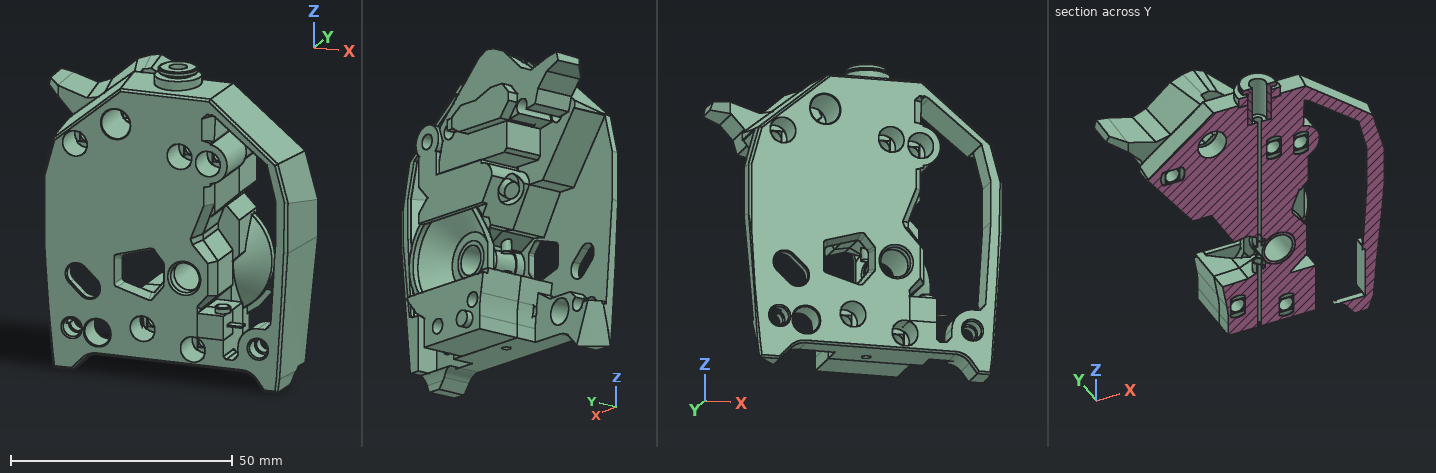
import cadquery as cq
import math


PLATE_T = 2.6
HOUSING_BACK = 11.8
FRAME_BACK = 22.85
LATCH_FRONT = 12.2
LATCH_BACK = 22.15
BELLY_Z = 4.2
PATH_Y = 8.3
HUB_X = 4.75
HUB_Z = 24.7
HUB_BORE_R = 3.49
ACCESS_X = -16.4
ACCESS_Z = 9.5
ACCESS_D = 6.25
BELL_R = 13.6
BELL_BACK = 21.5
SCREW_D = 3.5
SCREW_HEAD_D = 6.0
PIVOT_X = 10.5
PIVOT_Z = 52.4
PIVOT_BOSS_D = 8.0
PIVOT_EAR_D = 9.35
MOUNT_X = 22.65
MOUNT_Z = 10.0
THROUGH = 43.1
EDGE_CHAMFER = 0.5
FRAME_RIGHT = 13.45
TOP_Z = 71.9
FITTING_RECESS_Z = 67.6
COLLAR_D = 10.8
COLLET_FOOT_Z = 61.8
COLLET_STEM_D = 6.2
FILAMENT_D = 2.0
OUTSIDE_X = -43.1

SCREWS = [
    (-21.85, 53.6, True),
    (3.6, 53.35, False),
    (PIVOT_X, PIVOT_Z, False),
    (-5.4, 11.65, False),
    (6.8, 8.1, False),
]


def sketch_plane(y):
    """Plane parallel to XZ at the given Y; extruding by a negative length goes toward +Y."""
    return cq.Workplane("XZ").workplane(offset=-y)


def prism(points, y0, y1):
    return sketch_plane(y0).polyline(points).close().extrude(y0 - y1)


def slab(x0, x1, y0, y1, z0, z1):
    return cq.Workplane("XY").box(x1 - x0, y1 - y0, z1 - z0, centered=False).translate((x0, y0, z0))


def rod_y(x, z, diameter, y0, y1):
    return sketch_plane(y0).center(x, z).circle(diameter / 2).extrude(y0 - y1)


def rod_z(x, y, diameter, z0, z1):
    return cq.Workplane("XY").workplane(offset=z0).center(x, y).circle(diameter / 2).extrude(z1 - z0)


def countersunk_y(x, z, diameter, rim, y1):
    """Cutter for a hole from the front face whose mouth is chamfered by rim."""
    mouth = cq.Solid.makeCone(diameter / 2 + rim, diameter / 2, rim, cq.Vector(x, 0, z), cq.Vector(0, 1, 0))
    return rod_y(x, z, diameter, 0, y1).union(cq.Workplane(obj=mouth))


def drafted(front_points, back_points, y0, y1):
    """Solid between two outlines with matching corners."""
    front = cq.Wire.makePolygon([cq.Vector(x, y0, z) for x, z in front_points], close=True)
    back = cq.Wire.makePolygon([cq.Vector(x, y1, z) for x, z in back_points], close=True)
    return cq.Workplane(obj=cq.Solid.makeLoft([front, back], True))


def turned_y(profile):
    """Solid of revolution about the hub axis; profile corners are (radius, y)."""
    points = [(HUB_X + r, y) for r, y in profile]
    turned = cq.Workplane("XY").polyline(points).close().revolve(360, (HUB_X, 0, 0), (HUB_X, 1, 0))
    return turned.translate((0, 0, HUB_Z))


CEILING_TOP = (-12.2, 39.3)
CEILING_LOW = (-6.5, 29.9)
FLOOR_WALL_X = -7.9
CAVITY_RIGHT = 1.45


def idler_cavity(y0, y1):
    """Bay open to the left, below a leaning side wall and a sloped ceiling."""
    outline = (
        sketch_plane(y0)
        .moveTo(OUTSIDE_X, 53.85)
        .lineTo(-27.8, 53.85)
        .lineTo(-16.9, 39.3)
        .lineTo(*CEILING_TOP)
        .lineTo(*CEILING_LOW)
        .lineTo(-2.9, 30.55)
        .lineTo(CAVITY_RIGHT, 28.25)
        .lineTo(CAVITY_RIGHT, 20.5)
        .lineTo(-2.9, 18.7)
        .lineTo(-9.35, 18.5)
        .lineTo(-8.35, 12.65)
        .threePointArc((-8.0, 10.1), (FLOOR_WALL_X, 7.4))
        .lineTo(FLOOR_WALL_X, -0.7)
        .lineTo(OUTSIDE_X, -0.7)
        .close()
    )
    return outline.extrude(y0 - y1)


def screw_passages():
    holes = cq.Workplane()
    for x, z, _ in SCREWS:
        holes = holes.add(rod_y(x, z, SCREW_D, -0.7, THROUGH))
    for x, z, diameter in [(ACCESS_X, ACCESS_Z, ACCESS_D), (HUB_X, HUB_Z, 2 * HUB_BORE_R)]:
        holes = holes.add(rod_y(x, z, diameter, -0.7, THROUGH))
    return holes.combine()


FRONT_RIGHT = [(10.9, 67.65), (27.25, 54.1), (29.7, 45.3), (29.7, 33.4), (27.7, 3.45), (27.25, 0)]
BACK_RIGHT = [(12.1, 68.45), (29.55, 54.4), (32.65, 43.3), (32.65, 34.65), (29.5, 3.45), (27.7, 0)]
BACK_LEFT = [(-12.1, 68.45), (-29.55, 54.4), (-32.65, 43.3), (-32.65, 34.65), (-27.7, 3.45), (-27.25, 0)]

FOOT_BACK = 6.3
RIM_TOP_X = 11.35
RIM_LOW_X = 11.9
ARM_FLARE = 2.15
LATCH_HOLE_X = -11.9
LATCH_HOLE_Z = 59.3


def housing_blank():
    front = FRONT_RIGHT + [(-x, z) for x, z in reversed(FRONT_RIGHT)]
    back = BACK_RIGHT + list(reversed(BACK_LEFT))
    blank = drafted(front, back, 0, HOUSING_BACK)
    arch = (
        sketch_plane(-0.7)
        .moveTo(-23.7, -1.4)
        .lineTo(-19.9, 2.6)
        .threePointArc((-18.4, 3.75), (-16.5, BELLY_Z))
        .lineTo(18.7, BELLY_Z)
        .threePointArc((20.55, 3.75), (22.1, 2.45))
        .lineTo(23.95, 0)
        .lineTo(23.95, -1.4)
        .close()
        .extrude(-THROUGH)
    )
    blank = blank.cut(arch)
    return blank.faces("<Y").edges().chamfer(EDGE_CHAMFER)


def foot_relief():
    """Curved cut that shortens both feet behind."""
    return (
        cq.Workplane("YZ", origin=(-THROUGH, 0, 0))
        .moveTo(7.9, -0.7)
        .lineTo(7.9, 1.9)
        .threePointArc((8.2, 3.15), (9.0, BELLY_Z))
        .lineTo(THROUGH, BELLY_Z)
        .lineTo(THROUGH, -0.7)
        .close()
        .extrude(2 * THROUGH)
    )


def left_relief():
    """Removes the left side behind the front lip, leaving the deeper foot."""
    side = slab(OUTSIDE_X, -28.1, PLATE_T, THROUGH, 9.35, 71.9)
    foot = prism(
        [(OUTSIDE_X, 9.0), (-23.7, 10.1), (-20.1, 13.3), (-12.95, 13.3), (-7.2, 16.5), (-7.2, -0.7), (OUTSIDE_X, -0.7)],
        0, FOOT_BACK,
    )
    return idler_cavity(PLATE_T, HOUSING_BACK + 0.7).cut(foot).union(side)


def left_foot_bevel():
    """Slanted cut that narrows the left foot toward its sole."""
    sole = [(OUTSIDE_X, EDGE_CHAMFER), (-27.25, EDGE_CHAMFER), (-22.3, FOOT_BACK), (OUTSIDE_X, FOOT_BACK)]
    top = [(OUTSIDE_X, 3.5), (-28.4, 3.5), (-26.25, FOOT_BACK), (OUTSIDE_X, FOOT_BACK)]
    wires = [
        cq.Wire.makePolygon([cq.Vector(x, y, z) for x, y in outline], close=True)
        for outline, z in ((sole, 0), (top, 9.9))
    ]
    return cq.Workplane(obj=cq.Solid.makeLoft(wires, True))


def right_foot_relief():
    """Levels the back of the right foot around its mounting hole."""
    return slab(14.3, 26.6, FOOT_BACK, THROUGH, BELLY_Z, 17.25)


def grip_opening():
    opening = (
        sketch_plane(-0.7)
        .moveTo(RIM_TOP_X, 64.1)
        .lineTo(12.4, 63.6)
        .lineTo(24.8, 53.8)
        .lineTo(26.95, 45.3)
        .lineTo(26.95, 35.8)
        .lineTo(25.75, 16.25)
        .lineTo(24.45, 14.8)
        .lineTo(MOUNT_X, 14.8)
        .threePointArc((19.3, 13.4), (17.8, MOUNT_Z))
        .lineTo(17.8, 8.05)
        .lineTo(16.6, 6.7)
        .lineTo(14.95, 6.7)
        .lineTo(14.3, 7.3)
        .lineTo(14.3, 16.8)
        .lineTo(7.9, 16.8)
        .lineTo(7.9, 17.1)
        .lineTo(RIM_LOW_X, 20.7)
        .lineTo(RIM_LOW_X, 28.9)
        .lineTo(8.35, 33.5)
        .lineTo(8.35, 34.95)
        .lineTo(11.15, 42.4)
        .lineTo(11.15, 57.5)
        .close()
        .extrude(-THROUGH)
    )
    upper_bevel = drafted(
        [(9.05, 57.8), (9.05, 62.9), (10.35, 64.1), (12.4, 63.6), (12.4, 57.15)],
        [(RIM_TOP_X, 57.15), (RIM_TOP_X, 63.4), (11.65, 63.85), (12.4, 63.6), (12.4, 57.15)],
        0, PLATE_T,
    )
    lower_bevel = drafted(
        [(9.5, 46.7), (9.5, 42.4), (6.25, 34.2), (6.75, 32.9), (10.4, 28.9), (10.4, 21.3),
         (7.9, 18.4), (7.9, 16.8), (14.4, 16.8), (14.4, 48.2)],
        [(11.15, 48.2), (11.15, 42.4), (8.35, 34.95), (8.35, 33.5), (RIM_LOW_X, 28.9), (RIM_LOW_X, 20.7),
         (7.9, 16.9), (7.9, 16.8), (14.4, 16.8), (14.4, 48.2)],
        0, PLATE_T,
    )
    arm_inside = [(24.8, 53.8), (26.95, 45.3), (26.95, 35.8), (25.9, 17.25)]
    arm_flare = drafted(
        arm_inside + [(21.6, 17.25), (21.6, 53.8)],
        [(x + ARM_FLARE, z) for x, z in arm_inside] + [(21.6, 17.25), (21.6, 53.8)],
        7.2, HOUSING_BACK,
    )
    opening = opening.union(upper_bevel).union(lower_bevel).union(arm_flare)
    pivot_boss = rod_y(PIVOT_X, PIVOT_Z, PIVOT_EAR_D, -0.7, THROUGH)
    return opening.cut(pivot_boss)


def screw_seats():
    """Deep head bores that end in two bridging steps."""
    seat_depth = 7.2
    step = 0.3
    seats = cq.Workplane()
    for x, z, along_x in SCREWS:
        bore = rod_y(x, z, SCREW_HEAD_D, -0.7, seat_depth)
        reach = rod_y(x, z, SCREW_HEAD_D, seat_depth, seat_depth + step)
        half = SCREW_D / 2
        long_x = SCREW_HEAD_D if along_x else half
        long_z = half if along_x else SCREW_HEAD_D
        strip = slab(x - long_x, x + long_x, seat_depth, seat_depth + step, z - long_z, z + long_z)
        square = slab(x - half, x + half, seat_depth, seat_depth + 2 * step, z - half, z + half)
        seats = seats.add(bore.union(reach.intersect(strip)).union(square))
    return seats.combine()


def viewing_window():
    front = [(-12.3, 28.4), (-3.0, 31.05), (-0.2, 27.7), (-0.2, 22.3), (-3.4, 18.5), (-12.3, 21.05)]
    back = [(-11.3, 27.6), (-3.4, 29.9), (-1.15, 27.3), (-1.15, 22.65), (-3.7, 19.55), (-11.3, 21.8)]
    round_r = 0.9
    window = drafted(front, back, 0, PLATE_T)
    sides = [e for e in window.edges().vals() if abs(e.startPoint().y - e.endPoint().y) > PLATE_T / 2]
    return window.newObject(sides).fillet(round_r)


def tension_slot():
    ends = [(-21.35, 22.65), (-18.5, 20.0)]
    run = math.dist(*ends)
    tilt = math.degrees(math.atan2(ends[1][1] - ends[0][1], ends[1][0] - ends[0][0]))
    width = 5.6
    rim = 0.3
    bore = width - 2 * rim
    middle = [(a + b) / 2 for a, b in zip(*ends)]
    slot = sketch_plane(0).center(*middle).slot2D(run + bore, bore, tilt).extrude(-PLATE_T - 0.7)
    mouth = sketch_plane(0).center(*middle).slot2D(run + width, width, tilt).extrude(-rim, taper=45)
    return slot.union(mouth)


def mount_holes():
    holes = cq.Workplane()
    for side in (-1, 1):
        bore = countersunk_y(side * MOUNT_X, MOUNT_Z, 4.4, 0.35, 3.6)
        holes = holes.add(bore.union(rod_y(side * MOUNT_X, MOUNT_Z, SCREW_D, 0, THROUGH)))
    return holes.combine()


def back_rim():
    """Low raised land on the back of the grip."""
    return prism(
        [(12.4, 66.15), (28.75, 53.6), (30.9, 43.1), (30.9, 34.9), (28.75, 17.25), (28.2, 17.25), (29.25, 35.8), (29.25, 45.3),
         (27.1, 53.6), (12.4, 64.7)],
        HOUSING_BACK, HOUSING_BACK + 0.85,
    )


def right_flank():
    """Wedge below the pivot boss that widens toward the rear frame."""
    wedge = (
        cq.Workplane("XY", origin=(0, 0, 39.25))
        .polyline([(10.1, PLATE_T), (11.15, PLATE_T), (FRAME_RIGHT, HOUSING_BACK), (10.1, HOUSING_BACK)])
        .close()
        .extrude(10.1)
    )
    return wedge.cut(prism([(10.35, 39.25), (FRAME_RIGHT, 42.4), (FRAME_RIGHT, 39.25)], 0, HOUSING_BACK))


def filament_stubs():
    """Short guide tubes above and below the drive hub."""
    stub_d = 2.4
    upper = rod_z(0, PATH_Y, stub_d, 26.8, 30.9)
    lower = rod_z(0, PATH_Y, stub_d, 18, 22.1)
    return upper.union(lower)


def make_housing():
    body = housing_blank()
    body = body.cut(left_relief()).cut(left_foot_bevel()).cut(right_foot_relief())
    body = body.cut(foot_relief()).cut(grip_opening())
    body = body.union(back_rim()).union(filament_stubs()).union(right_flank())
    body = body.cut(screw_seats()).cut(screw_passages()).cut(mount_holes())
    body = body.cut(viewing_window()).cut(tension_slot())
    body = body.cut(countersunk_y(LATCH_HOLE_X, LATCH_HOLE_Z, 2 * HUB_BORE_R, 0.15, THROUGH))
    body = body.cut(countersunk_y(HUB_X, HUB_Z, 2 * HUB_BORE_R, 0.5, THROUGH))
    body = body.cut(countersunk_y(ACCESS_X, ACCESS_Z, ACCESS_D, 0.2, THROUGH))
    body = body.cut(rod_z(0, PATH_Y, COLLAR_D, FITTING_RECESS_Z, TOP_Z))
    body = body.cut(rod_z(0, PATH_Y, COLLET_STEM_D, COLLET_FOOT_Z, TOP_Z))
    body = body.cut(rod_z(0, PATH_Y, FILAMENT_D, -0.7, TOP_Z))
    return body.cut(hub_solid()).cut(side_block_solid())


FRAME_TOP = 44.0
LUG_TOP = 17.3


def tension_seat():
    """Round recess square to the sloped ceiling, with a pin standing in it."""
    seat_y = 16.25
    at = 0.2
    run = CEILING_LOW[0] - CEILING_TOP[0]
    drop = CEILING_TOP[1] - CEILING_LOW[1]
    centre = cq.Vector(CEILING_TOP[0] + at * run, seat_y, CEILING_TOP[1] - at * drop)
    inward = cq.Vector(drop, 0, run).normalized()
    recess_r = 3.49
    recess_depth = 2.15
    pin_r = 2.0
    proud = 0.35
    recess = cq.Solid.makeCylinder(recess_r, recess_depth, centre, inward)
    pin = cq.Solid.makeCylinder(pin_r, recess_depth + proud, centre - inward * proud, inward)
    return cq.Workplane(obj=recess), cq.Workplane(obj=pin)


def bottom_lug():
    """Thin ear behind the bell at the lower right."""
    return prism([(10.1, 10.1), (14.4, 12.95), (17.6, 16.75), (17.25, LUG_TOP), (10.1, LUG_TOP)], BELL_BACK, FRAME_BACK)


def make_frame():
    outline = (
        sketch_plane(HOUSING_BACK)
        .moveTo(*CEILING_TOP)
        .radiusArc((CEILING_TOP[0] + 3.8, CEILING_TOP[1] + 3.8), 3.8)
        .lineTo(CEILING_TOP[0] + 3.8, FRAME_TOP)
        .lineTo(7.3, FRAME_TOP)
        .lineTo(7.3, 49.6)
        .lineTo(FRAME_RIGHT, 49.6)
        .lineTo(FRAME_RIGHT, 42.4)
        .lineTo(10.35, 39.25)
        .lineTo(FRAME_RIGHT, 36.1)
        .lineTo(FRAME_RIGHT, 27.75)
        .lineTo(11.5, 25.9)
        .lineTo(11.5, BELLY_Z)
        .lineTo(-10.8, BELLY_Z)
        .lineTo(-10.8, 21.6)
        .close()
    )
    frame = outline.extrude(HOUSING_BACK - FRAME_BACK)
    frame = frame.union(rod_y(PIVOT_X, PIVOT_Z, PIVOT_BOSS_D, HOUSING_BACK, FRAME_BACK))
    frame = frame.cut(idler_cavity(HOUSING_BACK - 0.7, FRAME_BACK + 0.7))
    frame = frame.cut(bell_envelope()).cut(hub_solid()).cut(screw_passages())
    frame = frame.cut(slab(OUTSIDE_X, -OUTSIDE_X, BELL_BACK, THROUGH, LUG_TOP, 33.8))
    frame = frame.union(bottom_lug())
    locating_peg = rod_y(-3.6, 7.3, 3.75, FRAME_BACK, 24.5)
    frame = frame.union(locating_peg)
    recess, pin = tension_seat()
    return frame.cut(recess).union(pin)


HUB_BACK = 14.75
HUB_RIM_R = 4.5
HUB_WAIST_R = 4.2


def hub_solid():
    return turned_y([
        (HUB_BORE_R, PLATE_T), (HUB_RIM_R, PLATE_T), (HUB_RIM_R, 4.95), (HUB_WAIST_R, 4.95),
        (HUB_WAIST_R, 10.9), (HUB_RIM_R, 10.9), (HUB_RIM_R, HUB_BACK), (HUB_BORE_R, HUB_BACK),
    ])


BELL_FRONT = 12.95
BELL_NECK_R = 6.55
BELL_FLARE_Y = 19.55


def bell_envelope():
    """Space that the bell encloses."""
    return turned_y([
        (0, BELL_FRONT), (BELL_NECK_R, BELL_FRONT), (BELL_R, BELL_FLARE_Y), (BELL_R, BELL_BACK), (0, BELL_BACK),
    ])


def make_bell():
    wall = 1.3
    bell = turned_y([
        (HUB_RIM_R, BELL_FRONT), (BELL_NECK_R, BELL_FRONT), (BELL_R, BELL_FLARE_Y), (BELL_R, BELL_BACK),
        (BELL_R - wall, BELL_BACK), (BELL_R - wall, BELL_FLARE_Y + 0.5), (BELL_NECK_R, HUB_BACK),
        (HUB_RIM_R, HUB_BACK),
    ])
    open_side_x = -1.15
    left_half = slab(OUTSIDE_X, open_side_x, 0, THROUGH, 0, TOP_Z)
    return bell.cut(left_half)


def cam_solid():
    """Angular bar that passes through the latch and stands proud of it."""
    cam_front = 14.6
    bar = prism(
        [(-20.2, 56.95), (-18, 59.4), (-14.0, 59.4), (-8.6, 57.5), (-3.6, 57.5), (-0.3, 55.35), (-0.3, 52.85), (-2.9, 51.4),
         (-17.25, 51.4), (-20.2, 54.9)],
        cam_front, 24.7,
    )
    return bar.union(slab(-0.3, 1.8, cam_front, 24.3, 52.85, 55.35))


def make_latch():
    right_and_bottom = [(7.05, 55.0), (5.9, 51.75), (7.05, 47.45), (7.05, 44.2), (-15.7, 44.2), (-16.5, 45.1), (-16.5, 51.4),
                        (-26.45, 53.2), (-27.45, 56.6), (-30.55, 59.95)]
    front_top = [(-34.5, 61.6), (-33.9, 63.4), (-30.9, 62.9), (-23.7, 60.7), (-20.0, 61.5), (-12.4, 67.4),
                 (-10.4, 68.0), (-9.0, 68.3), (-7.2, 67.6)]
    back_top = [(-34.5, 61.6), (-33.9, 63.85), (-30.9, 63.3), (-24.8, 61.55), (-21.4, 62.9), (-15.3, 68.2),
                (-12.15, 69.45), (-9.5, 69.9), (-6.75, 68.6)]
    latch = drafted(front_top + right_and_bottom, back_top + right_and_bottom, LATCH_FRONT, LATCH_BACK)
    tip_bevel = 3.75
    bevel = (
        cq.Workplane("XY", origin=(0, 0, 43.1))
        .polyline([(-35.2, LATCH_FRONT), (-30.8, LATCH_FRONT), (-30.8 - tip_bevel, LATCH_FRONT + tip_bevel),
                   (-35.2, LATCH_FRONT + tip_bevel)])
        .close()
        .extrude(28.75)
    )
    notch = prism(
        [(-15.8, 58.7), (-11.9, 58.7), (-9.3, 60.9), (-11.1, 64.7), (-11.1, 71.9), (3.45, 71.9),
         (3.45, 57.5), (-9.3, 57.95), (-11.3, 56.2), (-15.8, 56.2)],
        LATCH_FRONT, 14.6,
    )
    return latch.cut(bevel).cut(notch).cut(cam_solid()).cut(screw_passages())


COLLAR_TOP = 70.0
FITTING_BORE_D = 4.0


def make_collar():
    ring = rod_z(0, PATH_Y, COLLAR_D, FITTING_RECESS_Z, COLLAR_TOP)
    return ring.cut(rod_z(0, PATH_Y, COLLET_STEM_D, FITTING_RECESS_Z, COLLAR_TOP))


def make_collet():
    stem = rod_z(0, PATH_Y, COLLET_STEM_D, COLLET_FOOT_Z, 71.2)
    flange = rod_z(0, PATH_Y, 8.9, 70.6, TOP_Z).faces(">Z or <Z").chamfer(0.3)
    return stem.union(flange).cut(rod_z(0, PATH_Y, FITTING_BORE_D, COLLET_FOOT_Z, TOP_Z))


BLOCK_TOP = 16.8
BLOCK_RIGHT = 14.3


def side_block_solid():
    """Flush block in the plate, with a thin blade reaching right."""
    block = slab(7.9, BLOCK_RIGHT, 0, 5.75, 11.15, BLOCK_TOP)
    blade = slab(BLOCK_RIGHT, 17.8, 2.15, 4.3, 13.8, 14.15)
    return block.union(blade)


def make_knob():
    return rod_z(12.9, 3.2, SCREW_D, BLOCK_TOP, 18.2).faces(">Z").chamfer(0.3)


housing = make_housing()
frame = make_frame()
bell = make_bell()
hub = hub_solid()
latch = make_latch()
cam = cam_solid()
collar = make_collar()
collet = make_collet()
side_block = side_block_solid()
knob = make_knob()

result = cq.Compound.makeCompound([
    housing.val(),
    frame.val(),
    bell.val(),
    hub.val(),
    latch.val(),
    cam.val(),
    collar.val(),
    collet.val(),
    side_block.val(),
    knob.val(),
])